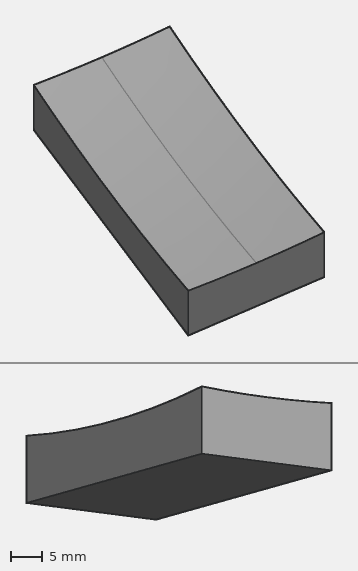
import cadquery as cq

length = 50.0
width = 25.0
center_thickness = 9.0
sphere_radius = 200.0
blank_height = 15.0

sphere_center_z = center_thickness + sphere_radius


def spherical_cutter():
    """Sphere turned about an X-parallel axis, so its seam runs along the middle of the top."""
    return (
        cq.Workplane("XZ")
        .moveTo(-sphere_radius, sphere_center_z)
        .threePointArc((0, center_thickness), (sphere_radius, sphere_center_z))
        .close()
        .revolve(360, (-sphere_radius, sphere_center_z), (sphere_radius, sphere_center_z))
    )


block = cq.Workplane("XY").box(length, width, blank_height, centered=(True, True, False))
result = block.cut(spherical_cutter(), clean=False)